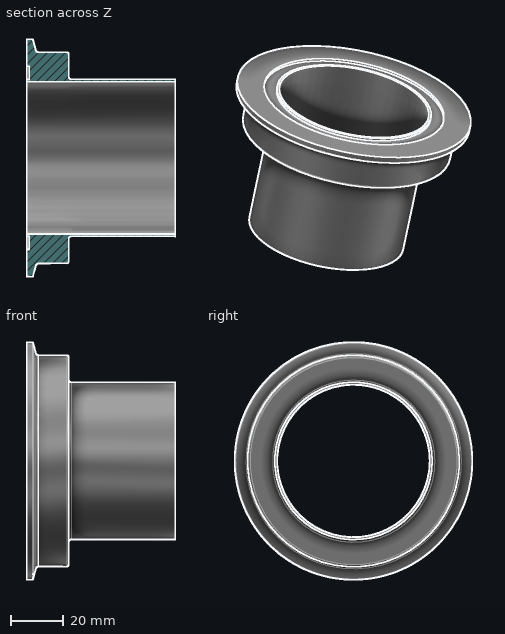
import cadquery as cq
import math

total_length = 57.0
flange_radius = 45.5
hub_radius = 40.5
hub_end = 16.2
tube_outer_radius = 30.1
bore_radius = 29.1

flange_corner = 2.5
taper_angle = math.radians(15)
taper_length = (flange_radius - hub_radius) * math.tan(taper_angle)
taper_end = flange_corner + taper_length

recess_radius = 35.0
lip_radius = 30.0
recess_depth = 1.0

flange_rounding = 0.5
hub_rounding = 0.9
match_tolerance = 0.01


def disc(radius, start, end):
    """Cylinder about the X axis between two axial positions."""
    return cq.Workplane("YZ").workplane(offset=start).circle(radius).extrude(end - start)


def round_edge(body, position, radius, rounding):
    """Round the circular edge at the given axial position and radius."""

    def is_wanted(edge):
        same_place = abs(edge.Center().x - position) < match_tolerance
        return same_place and abs(edge.radius() - radius) < match_tolerance

    return body.newObject(body.edges("%CIRCLE").filter(is_wanted).vals()).fillet(rounding)


outline = [
    (0, 0),
    (0, flange_radius),
    (flange_corner, flange_radius),
    (taper_end, hub_radius),
    (hub_end, hub_radius),
    (hub_end, tube_outer_radius),
    (total_length, tube_outer_radius),
    (total_length, 0),
]
body = cq.Workplane("XY").polyline(outline).close().revolve(360, (0, 0, 0), (1, 0, 0))

body = round_edge(body, flange_corner, flange_radius, flange_rounding)
body = round_edge(body, taper_end, hub_radius, hub_rounding)
body = round_edge(body, hub_end, hub_radius, hub_rounding)
body = round_edge(body, hub_end, tube_outer_radius, hub_rounding)

recess = disc(recess_radius, 0, recess_depth).cut(disc(lip_radius, 0, recess_depth))
bore = disc(bore_radius, 0, total_length)

result = body.cut(recess).cut(bore)